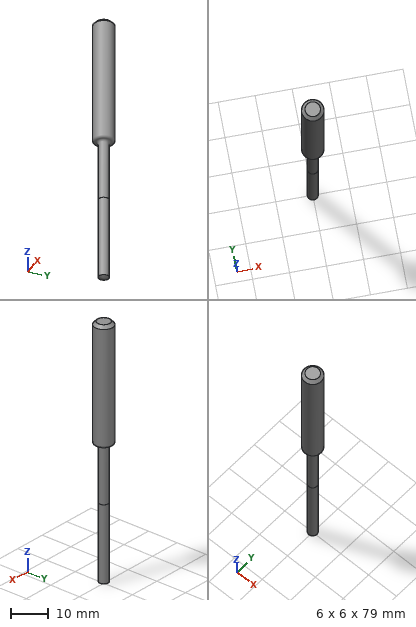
import cadquery as cq
import math

total_length = 79.0
shank_radius = 6.0 / 2
stem_radius = 3.0 / 2

top_chamfer = 0.95
shank_bottom = 42.1
shoulder_radius = (shank_radius - stem_radius) / 2

cutter_length = 24.4
point_height = 0.55


def make_shank():
    """Revolve the shank and its thin neck, down to the joint with the cutter."""
    arc_offset = shoulder_radius * (1 - math.sqrt(0.5))
    mid_radius = stem_radius + shoulder_radius
    return (
        cq.Workplane("XZ")
        .moveTo(0, cutter_length)
        .lineTo(stem_radius, cutter_length)
        .lineTo(stem_radius, shank_bottom - shoulder_radius)
        .threePointArc(
            (stem_radius + arc_offset, shank_bottom - arc_offset),
            (mid_radius, shank_bottom),
        )
        .threePointArc(
            (shank_radius - arc_offset, shank_bottom + arc_offset),
            (shank_radius, shank_bottom + shoulder_radius),
        )
        .lineTo(shank_radius, total_length - top_chamfer)
        .lineTo(shank_radius - top_chamfer, total_length)
        .lineTo(0, total_length)
        .close()
        .revolve(360, (0, 0), (0, 1))
    )


def make_cutter():
    """Revolve the cutting end, which butts against the neck."""
    return (
        cq.Workplane("XZ")
        .lineTo(stem_radius, point_height)
        .lineTo(stem_radius, cutter_length)
        .lineTo(0, cutter_length)
        .close()
        .revolve(360, (0, 0), (0, 1))
    )


shank = make_shank()
cutter = make_cutter()

result = cq.Compound.makeCompound([shank.val(), cutter.val()])